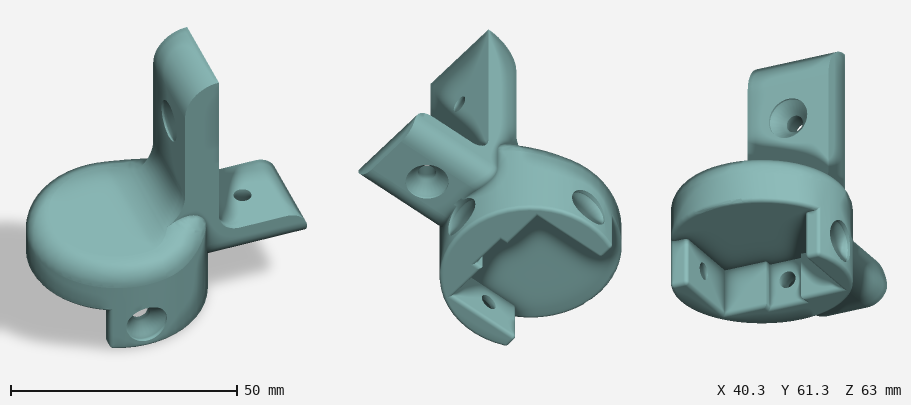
import cadquery as cq
import math

cup_diameter = 40.25
cup_radius = cup_diameter / 2
cap_top = 23.0
rim_radius = 5.0
edge_radius = 0.9
leg_height = 11.0
leg_overlap = 0.6
leg_front_y = -8.4

bracket_x = 0.3
bracket_width = 20.05
plate_thickness = 8.0
upright_top = 63.0
upright_back_y = 20.2
upright_front_y = upright_back_y - plate_thickness
overall_depth = 61.3
shelf_end_y = overall_depth - cup_radius
shelf_top = leg_height + plate_thickness
ramp_radius = 9.0
bend_degrees = 55
ramp_start_y = upright_front_y - ramp_radius
ramp_center_z = cap_top + ramp_radius
shelf_radius = 5.0

cavity_width = 29.1
cavity_back_y = 10.0
groove_width = 8.55
groove_depth = 1.9

hole_diameter = 4.0
sink_diameter = 9.5
sink_lip = 0.5
sink_clearance = 1.25
sink_depth = (sink_diameter - hole_diameter) / 2
upright_hole_z = 46.1
shelf_hole_y = 29.55
leg_hole_z = 6.4
side_hole_y = -0.3
leg_sink_start = math.sqrt(cup_radius**2 - (sink_diameter / 2) ** 2)


def round_body(height):
    """Cylinder of the cup's radius, with the seam of its wall at the front."""
    return cq.Workplane("XY").circle(cup_radius).extrude(height).rotate((0, 0, 0), (0, 0, 1), -90)


def ramp_point(angle):
    """Point (y, z) on the concave ramp, by angle from its lowest line."""
    return (
        ramp_start_y + ramp_radius * math.sin(angle),
        ramp_center_z - ramp_radius * math.cos(angle),
    )


def box(x_center, width, y_min, y_max, z_min, z_max):
    """Block centred on x_center in X, between the given limits in Y and Z."""
    block = cq.Workplane("XY").box(width, y_max - y_min, z_max - z_min, centered=(True, False, False))
    return block.translate((x_center, y_min, z_min))


def is_rim_edge(edge):
    """True for the edges between the round wall and the top of the cup."""
    tolerance = 0.005
    samples = [edge.positionAt(fraction) for fraction in (0.2, 0.8)]
    on_wall = all(math.hypot(point.x, point.y) > cup_radius - tolerance for point in samples)
    above_wall = all(point.z > cap_top - tolerance for point in samples)
    return on_wall and above_wall


def make_cup():
    """Cylinder whose top bends up into the upright, with a rounded rim."""
    reach = 2 * cup_radius
    bend = math.radians(bend_degrees)
    bend_end = ramp_point(bend)
    slope_end = (reach, bend_end[1] + (reach - bend_end[0]) * math.tan(bend))
    envelope = (
        cq.Workplane("YZ")
        .moveTo(-reach, leg_height)
        .lineTo(-reach, cap_top)
        .lineTo(ramp_start_y, cap_top)
        .threePointArc(ramp_point(bend / 2), bend_end)
        .lineTo(*slope_end)
        .lineTo(reach, leg_height)
        .close()
        .extrude(reach, both=True)
    )
    cup = round_body(upright_top).intersect(envelope)
    rim = [edge for edge in cup.edges().vals() if is_rim_edge(edge)]
    rounded = cup.newObject(rim).fillet(rim_radius)
    return rounded.faces("<Z").edges().fillet(edge_radius)


def make_leg():
    """Rear part of the cup wall, with a stepped cavity open to the front."""
    reach = 2 * cup_radius
    leg_top = leg_height + edge_radius + leg_overlap
    front = box(0, 2 * reach, -reach, leg_front_y, 0, leg_top)
    cavity = box(bracket_x, cavity_width, leg_front_y, cavity_back_y, 0, leg_top)
    groove = box(bracket_x, groove_width, cavity_back_y, cavity_back_y + groove_depth, 0, leg_top)
    leg = round_body(leg_top).cut(front).cut(cavity).cut(groove)
    leg = leg.faces("<Y").edges("|Z").fillet(edge_radius)
    return leg.faces("<Z").edges().fillet(edge_radius)


def make_bracket():
    """Upright and shelf, with a ramp at the front and a fillet in the corner."""
    bracket = (
        cq.Workplane("YZ")
        .moveTo(ramp_start_y, leg_height)
        .lineTo(ramp_start_y, cap_top)
        .threePointArc(ramp_point(math.pi / 4), ramp_point(math.pi / 2))
        .lineTo(upright_front_y, upright_top - plate_thickness)
        .radiusArc((upright_back_y, upright_top), plate_thickness)
        .lineTo(upright_back_y, shelf_top + shelf_radius)
        .radiusArc((upright_back_y + shelf_radius, shelf_top), -shelf_radius)
        .lineTo(shelf_end_y - shelf_radius, shelf_top)
        .radiusArc((shelf_end_y, shelf_top - shelf_radius), shelf_radius)
        .lineTo(shelf_end_y, leg_height)
        .close()
        .extrude(bracket_width / 2, both=True)
        .translate((bracket_x, 0, 0))
    )
    return bracket.faces("<Z").edges("|Y").fillet(shelf_radius)


def screw_cutter(start, direction, length):
    """Straight hole with a conical sink below a short cylindrical lip."""
    half_section = [
        (0, -sink_clearance),
        (sink_diameter / 2, -sink_clearance),
        (sink_diameter / 2, sink_lip),
        (hole_diameter / 2, sink_lip + sink_depth),
        (hole_diameter / 2, length),
        (0, length),
    ]
    turned = cq.Workplane("XY").polyline(half_section).close().revolve(360, (0, 0), (0, 1)).val()
    upright = turned.rotate(cq.Vector(0, 0, 0), cq.Vector(1, 0, 0), 90)
    x_direction = (1, 0, 0) if direction[0] == 0 else (0, 1, 0)
    screw_plane = cq.Plane(start, x_direction, direction)
    return cq.Workplane(upright.moved(cq.Location(screw_plane)))


result = make_cup().union(make_leg()).union(make_bracket())
screws = [
    ((bracket_x, upright_front_y, upright_hole_z), (0, 1, 0), plate_thickness + sink_clearance),
    ((bracket_x, shelf_hole_y, leg_height), (0, 0, 1), plate_thickness + sink_clearance),
    ((bracket_x, leg_sink_start, leg_hole_z), (0, -1, 0), cup_radius),
    ((-leg_sink_start, side_hole_y, leg_hole_z), (1, 0, 0), cup_radius),
    ((leg_sink_start, side_hole_y, leg_hole_z), (-1, 0, 0), cup_radius),
]
for start, direction, length in screws:
    result = result.cut(screw_cutter(start, direction, length))